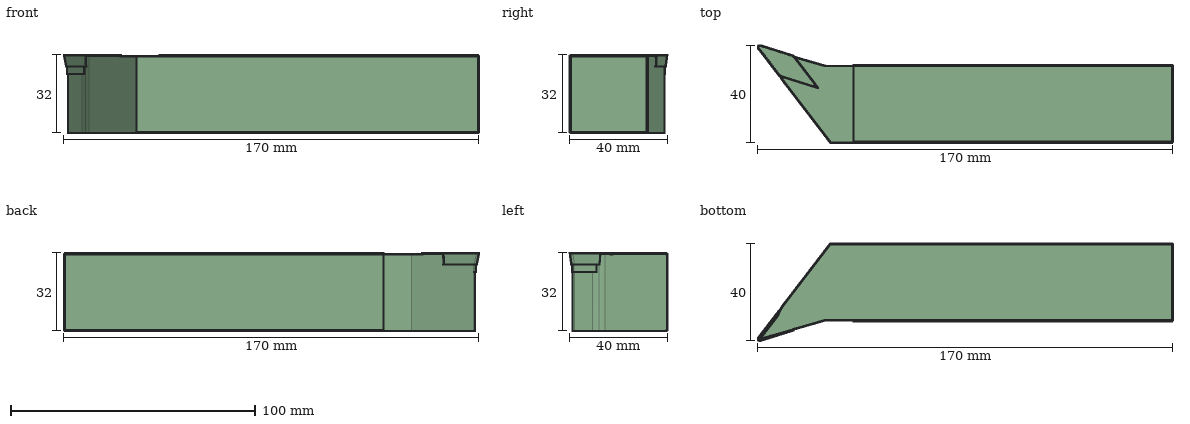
import cadquery as cq
import math

LENGTH = 170.0
SHANK_SIDE = 32.0
SHANK_START = 39.1
EDGE_CHAMFER = 0.5

TOP_ANGLE = 17.5
INSERT_ANGLE = 35.0
FLANK_ANGLE = TOP_ANGLE + INSERT_ANGLE
TOP_SLOPE = math.tan(math.radians(TOP_ANGLE))
FLANK_SLOPE = math.tan(math.radians(FLANK_ANGLE))

INSERT_SIDE = 16.7
INSERT_THICKNESS = 4.8
INSERT_RELIEF = 4.0
NOSE_RADIUS = 0.8
TIP_Y = 40.0

HEAD_DROP = 0.42
HEAD_CORNER_X = 29.8
FLANK_BLEND_Y = 25.5
COLUMN_FLANK_Y = 30.6
COLUMN_SETBACK = 1.1
COLUMN_TIP_Y = 39.3
COLUMN_RADIUS = 0.5

SEAT_THICKNESS = 3.0
SEAT_SETBACK = 0.8
SEAT_TIP_Y = 39.6
SEAT_RADIUS = 0.5
SEAT_END_Y = 29.0

INSERT_BOTTOM = SHANK_SIDE - INSERT_THICKNESS
HEAD_TOP = SHANK_SIDE - HEAD_DROP
HEAD_BACK_Y = HEAD_TOP

APEX_REACH = NOSE_RADIUS / math.sin(math.radians(INSERT_ANGLE / 2))
BISECTOR = math.radians(TOP_ANGLE + INSERT_ANGLE / 2)
APEX_X = NOSE_RADIUS - APEX_REACH * math.cos(BISECTOR)
APEX_Y = TIP_Y - NOSE_RADIUS + APEX_REACH * math.sin(BISECTOR)


def flank_x(y, setback=0.0):
    """X of the flank line at a given Y, moved in +X by setback."""
    return HEAD_CORNER_X + setback - y / FLANK_SLOPE


def back_x(y):
    """X of the back edge line at a given Y."""
    return APEX_X + (APEX_Y - y) / TOP_SLOPE


def insert_corner(angle):
    """End of the insert side that leaves the apex at this angle below the X axis."""
    direction = math.radians(angle)
    return (APEX_X + INSERT_SIDE * math.cos(direction), APEX_Y - INSERT_SIDE * math.sin(direction))


def make_rhombus():
    """Sharp-cornered insert shape with relieved sides, widest at its top."""
    front = insert_corner(FLANK_ANGLE)
    back = insert_corner(TOP_ANGLE)
    rear = (front[0] + back[0] - APEX_X, front[1] + back[1] - APEX_Y)
    return (
        cq.Workplane("XY", origin=(0, 0, SHANK_SIDE))
        .polyline([(APEX_X, APEX_Y), front, rear, back])
        .close()
        .extrude(-INSERT_THICKNESS, taper=INSERT_RELIEF)
    )


def make_insert():
    """Insert with its two acute corners rounded."""
    insert = make_rhombus()
    sloping = insert.edges("not #Z")
    acute = sloping.edges("<X").add(sloping.edges(">X"))
    return insert.newObject(acute.vals()).fillet(NOSE_RADIUS)


def make_shank():
    """Square bar, chamfered along its length and at its end."""
    bar = cq.Workplane("XY").box(LENGTH - SHANK_START, SHANK_SIDE, SHANK_SIDE, centered=False)
    bar = bar.edges("|X").chamfer(EDGE_CHAMFER).faces(">X").chamfer(EDGE_CHAMFER)
    return bar.translate((SHANK_START, 0, 0))


def make_head():
    """Slanted head with a set-back column below the insert."""
    blend_start = (flank_x(COLUMN_FLANK_Y, COLUMN_SETBACK), COLUMN_FLANK_Y)
    blend_end = (flank_x(FLANK_BLEND_Y), FLANK_BLEND_Y)
    blend_middle = ((blend_start[0] + blend_end[0]) / 2, (blend_start[1] + blend_end[1]) / 2)
    head = (
        cq.Workplane("XY")
        .moveTo(flank_x(COLUMN_TIP_Y, COLUMN_SETBACK), COLUMN_TIP_Y)
        .lineTo(*blend_start)
        .tangentArcPoint(blend_middle, relative=False)
        .tangentArcPoint(blend_end, relative=False)
        .lineTo(HEAD_CORNER_X, 0)
        .lineTo(SHANK_START, 0)
        .lineTo(SHANK_START, HEAD_BACK_Y)
        .lineTo(back_x(HEAD_BACK_Y), HEAD_BACK_Y)
        .close()
        .extrude(HEAD_TOP)
    )
    head = head.edges("|Z and <X").fillet(COLUMN_RADIUS)
    return head.faces("<Y").edges("|X").edges("<Z").chamfer(EDGE_CHAMFER)


def make_seat():
    """Ledge standing out from the column directly under the insert."""
    tip = (flank_x(SEAT_TIP_Y, SEAT_SETBACK), SEAT_TIP_Y)
    front_end = (flank_x(SEAT_END_Y, SEAT_SETBACK), SEAT_END_Y)
    buried_end = (back_x(HEAD_BACK_Y), SEAT_END_Y)
    seat = (
        cq.Workplane("XY", origin=(0, 0, INSERT_BOTTOM))
        .polyline([tip, front_end, buried_end])
        .close()
        .extrude(-SEAT_THICKNESS)
    )
    return seat.edges("|Z and <X").fillet(SEAT_RADIUS)


def make_pocket():
    """Space for the insert, clear of everything around its nose."""
    over_nose = (
        cq.Workplane("XY", origin=(0, 0, INSERT_BOTTOM))
        .polyline([(APEX_X, APEX_Y), insert_corner(FLANK_ANGLE), insert_corner(TOP_ANGLE)])
        .close()
        .extrude(INSERT_THICKNESS)
    )
    return make_rhombus().union(over_nose)


def make_holder():
    """Shank, head and seat in one piece, with the insert pocket cut out."""
    return make_shank().union(make_head()).union(make_seat()).cut(make_pocket())


holder = make_holder()
insert = make_insert()
result = cq.Compound.makeCompound([holder.val(), insert.val()])